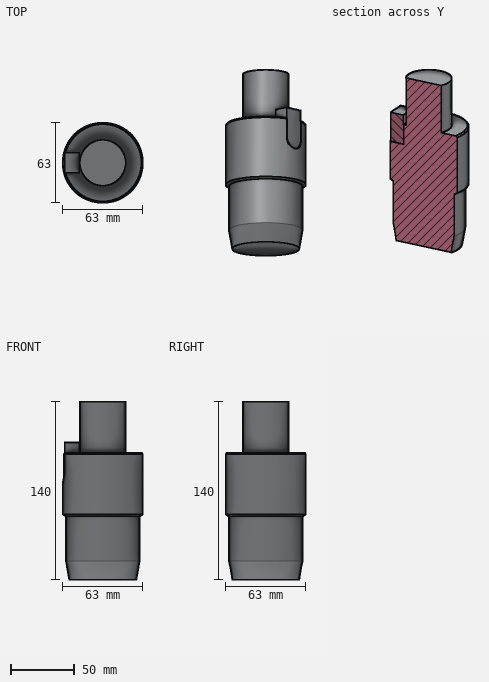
import cadquery as cq
import math

total_height = 140.0
shank_diameter = 36.0
collar_diameter = 63.0
collar_bottom = 50.0
collar_top = 100.0
collar_chamfer = 1.2
shoulder_angle = 30.0
nose_diameter = 58.0
lead_in_height = 15.0
lead_in_angle = 10.0

key_width = 16.0
key_height = 32.0
key_projection = 8.0
key_outer_x = -30.0
key_inner_x = -18.3

shank_radius = shank_diameter / 2
collar_radius = collar_diameter / 2
nose_radius = nose_diameter / 2
lead_in_radius = nose_radius - lead_in_height * math.tan(math.radians(lead_in_angle))
shoulder_height = (collar_radius - nose_radius) * math.tan(math.radians(shoulder_angle))
key_top = collar_top + key_projection
key_bottom = key_top - key_height


def rounded_end_prism(start_x, end_x):
    """Key-shaped prism along X, with a half-round lower end and a flat top."""
    half_width = key_width / 2
    arc_center_z = key_bottom + half_width
    return (
        cq.Workplane("YZ", origin=(start_x, 0, 0))
        .moveTo(-half_width, key_top)
        .lineTo(-half_width, arc_center_z)
        .threePointArc((0, key_bottom), (half_width, arc_center_z))
        .lineTo(half_width, key_top)
        .close()
        .extrude(end_x - start_x)
    )


def make_punch():
    """Stepped round body with a keyway open to the collar side and top."""
    turned = (
        cq.Workplane("XZ")
        .moveTo(0, 0)
        .lineTo(lead_in_radius, 0)
        .lineTo(nose_radius, lead_in_height)
        .lineTo(nose_radius, collar_bottom)
        .lineTo(collar_radius, collar_bottom + shoulder_height)
        .lineTo(collar_radius, collar_top - collar_chamfer)
        .lineTo(collar_radius - collar_chamfer, collar_top)
        .lineTo(shank_radius, collar_top)
        .lineTo(shank_radius, total_height)
        .lineTo(0, total_height)
        .close()
        .revolve(360, (0, 0, 0), (0, 1, 0))
    )
    keyway = rounded_end_prism(-collar_radius, key_inner_x)
    return turned.cut(keyway)


def make_key():
    """Key filling the keyway up to its flat outer face."""
    return rounded_end_prism(key_outer_x, key_inner_x)


punch = make_punch()
key = make_key()

result = cq.Compound.makeCompound([punch.val(), key.val()])